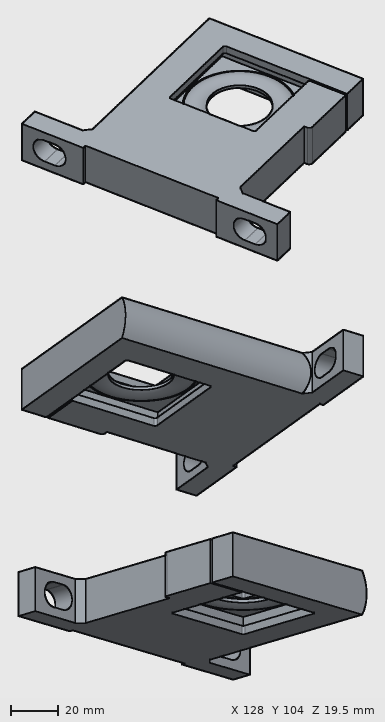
import cadquery as cq

FOOT_LENGTH = 128.0
HEIGHT = 104.0
THICKNESS = 19.5

FOOT_DEPTH = 10.1
RELIEF_WIDTH = 66.5
RELIEF_DEPTH = 1.8
SLOT_LENGTH = 16.3
SLOT_WIDTH = 11.1
SLOT_SPACING = 100.4

BODY_HALF_WIDTH = 37.0
HEAD_RIGHT = 40.0
HEAD_BOTTOM = 62.8
HEAD_FILLET = 1.5
GUSSET_WIDTH = HEAD_RIGHT - BODY_HALF_WIDTH
GUSSET_HEIGHT = 3.0
BULGE_DEPTH = 2.7

WINDOW_SIZE = 43.0
WINDOW_Y = 70.0
WINDOW_FILLET = 1.0
LIP_THICKNESS = 3.7
CAVITY_SIZE = 49.4
CAVITY_HEIGHT = THICKNESS - 2 * LIP_THICKNESS
GAP_WIDTH = 1.0

PLATE_THICKNESS = 1.3
RING_OUTER_RADIUS = 24.0
RING_INNER_RADIUS = 14.0
RING_RIM_WIDTH = 0.5
RING_EDGE_THICKNESS = 1.5
RING_CROWN = 1.4


def centred_box(width, depth, height):
    """Box centred on the window axis and on Z = 0."""
    return cq.Workplane("XY").center(0, WINDOW_Y).box(width, depth, height)


def make_outline():
    """Plain slab with the foot, gussets and overhanging head."""
    half_foot = FOOT_LENGTH / 2
    half_relief = RELIEF_WIDTH / 2
    gusset_end = BODY_HALF_WIDTH + GUSSET_WIDTH
    gusset_top = FOOT_DEPTH + GUSSET_HEIGHT
    points = [
        (-half_foot, 0),
        (-half_relief, 0),
        (-half_relief, RELIEF_DEPTH),
        (half_relief, RELIEF_DEPTH),
        (half_relief, 0),
        (half_foot, 0),
        (half_foot, FOOT_DEPTH),
        (gusset_end, FOOT_DEPTH),
        (BODY_HALF_WIDTH, gusset_top),
        (BODY_HALF_WIDTH, HEAD_BOTTOM),
        (HEAD_RIGHT, HEAD_BOTTOM),
        (HEAD_RIGHT, HEIGHT),
        (-BODY_HALF_WIDTH, HEIGHT),
        (-BODY_HALF_WIDTH, gusset_top),
        (-gusset_end, FOOT_DEPTH),
        (-half_foot, FOOT_DEPTH),
    ]
    outline = cq.Workplane("XY").polyline(points).close().extrude(THICKNESS / 2, both=True)
    head_corner = cq.selectors.NearestToPointSelector((HEAD_RIGHT, HEAD_BOTTOM, 0))
    return outline.edges("|Z").edges(head_corner).fillet(HEAD_FILLET)


def make_bulge():
    """Rounded left side, running from the foot to the top."""
    half_thickness = THICKNESS / 2
    return (
        cq.Workplane("XZ", origin=(0, HEIGHT, 0))
        .moveTo(-BODY_HALF_WIDTH, -half_thickness)
        .threePointArc((-BODY_HALF_WIDTH - BULGE_DEPTH, 0), (-BODY_HALF_WIDTH, half_thickness))
        .close()
        .extrude(HEIGHT - FOOT_DEPTH)
    )


def make_slots():
    """Cutters for the two mounting slots through the foot."""
    return (
        cq.Workplane("XZ")
        .pushPoints([(-SLOT_SPACING / 2, 0), (SLOT_SPACING / 2, 0)])
        .slot2D(SLOT_LENGTH, SLOT_WIDTH)
        .extrude(-FOOT_DEPTH)
    )


def make_gap():
    """Cutter for the slit along the window's top edge, out through the right side."""
    window_top = WINDOW_Y + WINDOW_SIZE / 2
    return (
        cq.Workplane("XY")
        .box(HEAD_RIGHT, GAP_WIDTH, THICKNESS, centered=(False, False, True))
        .translate((0, window_top - GAP_WIDTH, 0))
    )


def make_housing():
    """C-shaped body with the foot, the window and the cavity around it."""
    window = centred_box(WINDOW_SIZE, WINDOW_SIZE, THICKNESS).edges("|Z").fillet(WINDOW_FILLET)
    cavity = centred_box(CAVITY_SIZE, CAVITY_SIZE, CAVITY_HEIGHT)
    body = make_outline().union(make_bulge())
    return body.cut(make_slots()).cut(window).cut(cavity).cut(make_gap())


def make_carrier_plate():
    """Square plate that reaches the cavity walls, with a round hole for the ring."""
    plate = centred_box(CAVITY_SIZE, CAVITY_SIZE, PLATE_THICKNESS)
    return plate.faces(">Z").workplane(origin=(0, WINDOW_Y, 0)).hole(2 * RING_OUTER_RADIUS)


def make_ring():
    """Ring with domed upper and lower faces and a narrow flat rim."""
    edge_z = RING_EDGE_THICKNESS / 2
    crown_z = edge_z + RING_CROWN
    dome_radius = RING_OUTER_RADIUS - RING_RIM_WIDTH
    crown_radius = (RING_INNER_RADIUS + dome_radius) / 2
    return (
        cq.Workplane("XZ", origin=(0, WINDOW_Y, 0))
        .moveTo(RING_INNER_RADIUS, -edge_z)
        .threePointArc((crown_radius, -crown_z), (dome_radius, -edge_z))
        .lineTo(RING_OUTER_RADIUS, -edge_z)
        .lineTo(RING_OUTER_RADIUS, edge_z)
        .lineTo(dome_radius, edge_z)
        .threePointArc((crown_radius, crown_z), (RING_INNER_RADIUS, edge_z))
        .close()
        .revolve(360, (0, 0, 0), (0, 1, 0))
    )


housing = make_housing()
carrier_plate = make_carrier_plate()
ring = make_ring()

result = cq.Compound.makeCompound([housing.val(), carrier_plate.val(), ring.val()])